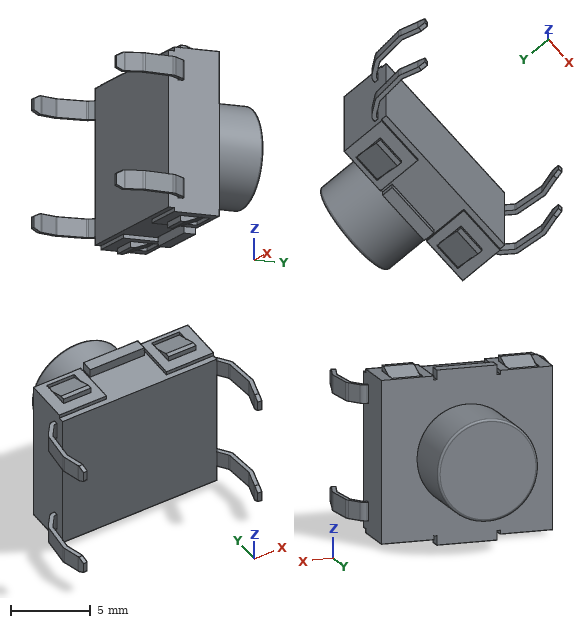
import cadquery as cq
import math


overall_width = 14.0

body_width = 11.4
body_depth = 3.5
core_height = 10.15
outer_height = 11.4

button_diameter = 6.65
button_length = 4.1
button_edge_radius = 0.14

pad_thickness = 0.25
pad_width = 3.49
pad_base_step = 0.39

catch_size = 2.02
catch_center_x = 3.88
catch_front_gap = 0.3
catch_flat = 0.34

rib_width = 4.0
rib_depth = 0.8

leg_thickness = 0.3
leg_width = 1.2
leg_pitch_z = 7.63
leg_exit_y = 0.81
leg_embed = 0.42
leg_bend_radius = 0.35
leg_slope_run = 0.88
leg_shank_run = 1.96
leg_lower_run = 1.15
leg_tip_run = 0.53
leg_slope_angle = 53.5
leg_shank_angle = 84.6
leg_lower_angle = 106.0
leg_tip_angle = 98.0
tip_taper_length = 0.46
tip_taper_inset = 0.24

leg_exit_run = (
    (overall_width - body_width - leg_thickness) / 2
    - leg_bend_radius
    - leg_slope_run * math.cos(math.radians(leg_slope_angle))
    - leg_shank_run * math.cos(math.radians(leg_shank_angle))
)

core_top = core_height / 2
outer_top = outer_height / 2


def upper_block(x_center, x_width, y_start, y_end, z_end):
    """Block standing on the middle plane of the housing."""
    return cq.Workplane("XY").box(
        x_width, y_end - y_start, z_end, centered=(True, False, False)
    ).translate((x_center, y_start, 0))


def make_pad_with_catch():
    """Pad on the +X, +Z corner, with a ramped catch set in a square pocket."""
    pad_center_x = (body_width - pad_width) / 2
    pad_top = core_top + pad_thickness
    catch_front = body_depth - catch_front_gap
    catch_back = catch_front - catch_size
    pad = upper_block(pad_center_x, pad_width, pad_base_step, body_depth, pad_top)
    pocket = upper_block(catch_center_x, catch_size, catch_back, catch_front, outer_top)
    catch = (
        cq.Workplane("YZ")
        .moveTo(catch_front, 0)
        .lineTo(catch_front, core_top)
        .lineTo(catch_back + catch_flat, outer_top)
        .lineTo(catch_back, outer_top)
        .lineTo(catch_back, 0)
        .close()
        .extrude(catch_size / 2, both=True)
        .translate((catch_center_x, 0, 0))
    )
    return pad.cut(pocket).union(catch)


def make_button():
    """Round button on the front face, with a rounded front edge."""
    return (
        cq.Workplane("XZ", origin=(0, body_depth, 0))
        .circle(button_diameter / 2)
        .extrude(-button_length)
        .faces(">Y")
        .edges()
        .fillet(button_edge_radius)
    )


def strip_point(station, offset):
    """Point at a distance to the left of a station (x, y, angle) on the leg centreline."""
    x, y, angle = station
    slope = math.radians(angle)
    return x + offset * math.sin(slope), y + offset * math.cos(slope)


def advance(station, run):
    """Station at the end of a straight run."""
    x, y, angle = station
    slope = math.radians(angle)
    return x + run * math.cos(slope), y - run * math.sin(slope), angle


def turn(station, next_angle):
    """Station at the end of a bend to a new angle."""
    pivot_offset = math.copysign(leg_bend_radius, station[2] - next_angle)
    pivot = strip_point(station, pivot_offset)
    return *strip_point((*pivot, next_angle), -pivot_offset), next_angle


def make_leg_tip(station):
    """Straight tip of the strip, narrowing in width toward its end."""
    x, y, angle = station
    slope = math.radians(angle)
    half_width = leg_width / 2
    half_end = half_width - tip_taper_inset
    taper_start = leg_tip_run - tip_taper_length
    tip_plane = cq.Plane(
        origin=(x, y, 0),
        xDir=(math.cos(slope), -math.sin(slope), 0),
        normal=(math.sin(slope), math.cos(slope), 0),
    )
    return (
        cq.Workplane(tip_plane)
        .moveTo(0, half_width)
        .lineTo(taper_start, half_width)
        .lineTo(leg_tip_run, half_end)
        .lineTo(leg_tip_run, -half_end)
        .lineTo(taper_start, -half_width)
        .lineTo(0, -half_width)
        .close()
        .extrude(leg_thickness / 2, both=True)
    )


def make_leg():
    """Leg on the +X side: a strip with tangent bends and a tapered tip."""
    half = leg_thickness / 2
    runs_and_angles = [
        (leg_embed + leg_exit_run, leg_slope_angle),
        (leg_slope_run, leg_shank_angle),
        (leg_shank_run, leg_lower_angle),
        (leg_lower_run, leg_tip_angle),
    ]
    start = (body_width / 2 - leg_embed, leg_exit_y, 0)

    bends = []
    station = start
    for run, next_angle in runs_and_angles:
        bend_start = advance(station, run)
        bend_middle = turn(bend_start, (bend_start[2] + next_angle) / 2)
        station = turn(bend_start, next_angle)
        bends.append((bend_start, bend_middle, station))

    outline = cq.Workplane("XY").moveTo(*strip_point(start, half))
    for bend_start, bend_middle, bend_end in bends:
        outline = outline.lineTo(*strip_point(bend_start, half))
        outline = outline.threePointArc(strip_point(bend_middle, half), strip_point(bend_end, half))
    for bend_start, bend_middle, bend_end in reversed(bends):
        outline = outline.lineTo(*strip_point(bend_end, -half))
        outline = outline.threePointArc(strip_point(bend_middle, -half), strip_point(bend_start, -half))
    strip = outline.lineTo(*strip_point(start, -half)).close().extrude(leg_width / 2, both=True)
    return strip.union(make_leg_tip(station))


result = cq.Workplane("XY").box(
    body_width, body_depth, core_height, centered=(True, False, True)
)
result = result.union(make_button())

pad = make_pad_with_catch()
upper_features = (
    upper_block(0, rib_width, body_depth - rib_depth, body_depth, outer_top)
    .union(pad)
    .union(pad.mirror("YZ"))
)
result = result.union(upper_features).union(upper_features.mirror("XY"))

leg = make_leg()
leg_pair = leg.union(leg.mirror("YZ"))
for z_sign in (-1, 1):
    result = result.union(leg_pair.translate((0, 0, z_sign * leg_pitch_z / 2)))